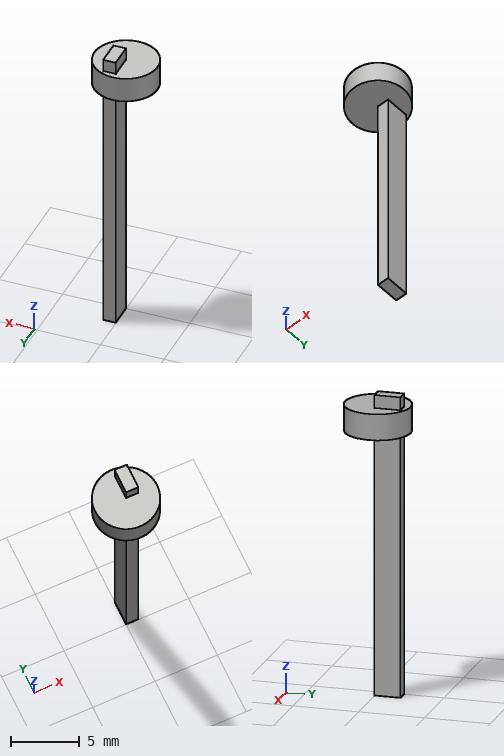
import cadquery as cq

blade_length = 23.0
blade_thickness = 1.0
blade_width = 2.0

collar_diameter = 5.0
collar_height = 2.0
blade_protrusion = 1.0
collar_bottom = blade_length - blade_protrusion - collar_height


def make_blade():
    """Straight bar standing on Z = 0, with a corner of its section on the Z axis."""
    return cq.Workplane("XY").box(blade_thickness, blade_width, blade_length, centered=False)


def make_collar():
    """Disc centred on the Z axis, with a slot that fits the blade."""
    disc = (
        cq.Workplane("XY")
        .workplane(offset=collar_bottom)
        .circle(collar_diameter / 2)
        .extrude(collar_height)
    )
    return disc.cut(make_blade())


blade = make_blade()
collar = make_collar()

result = cq.Compound.makeCompound([blade.val(), collar.val()])